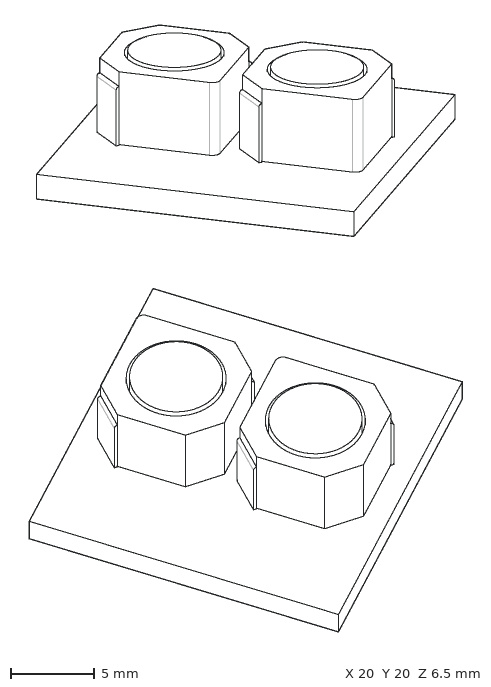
import cadquery as cq
import math

BOARD_SIZE = 20.0
BOARD_THICKNESS = 1.6

INDUCTOR_PITCH = 9.0
INDUCTOR_HEIGHT = 4.9
INDUCTOR_CENTRES_X = [-INDUCTOR_PITCH / 2, INDUCTOR_PITCH / 2]

SHIELD_SIZE = 8.0
SHIELD_BEVEL = 1.8
SHIELD_CORNER_RADIUS = 0.5
SHIELD_STANDOFF = 0.05
SHIELD_BORE_DIAMETER = 6.0

CORE_DIAMETER = 5.6
CORE_PROTRUSION = 0.15

TERMINAL_THICKNESS = 0.2
TERMINAL_HEIGHT = 3.8
TERMINAL_WIDTH = SHIELD_BEVEL * math.sqrt(2)
FRONT_LEFT_ANGLE = 225
BACK_RIGHT_ANGLE = 45

BEVEL_DISTANCE = (SHIELD_SIZE - SHIELD_BEVEL) / math.sqrt(2)


def make_board():
    return cq.Workplane("XY").box(
        BOARD_SIZE, BOARD_SIZE, BOARD_THICKNESS, centered=(True, True, False)
    )


def make_shield(centre_x):
    height = INDUCTOR_HEIGHT - CORE_PROTRUSION - SHIELD_STANDOFF
    block = cq.Workplane("XY").box(
        SHIELD_SIZE, SHIELD_SIZE, height, centered=(True, True, False)
    )
    block = block.edges("|Z and (<X or >Y)").chamfer(SHIELD_BEVEL)
    front_right = cq.selectors.DirectionMinMaxSelector(cq.Vector(1, -1, 0), True)
    block = block.edges("|Z").edges(front_right).fillet(SHIELD_CORNER_RADIUS)
    bore = cq.Workplane("XY").circle(SHIELD_BORE_DIAMETER / 2).extrude(height)
    return block.cut(bore).translate((centre_x, 0, BOARD_THICKNESS + SHIELD_STANDOFF))


def make_core(centre_x):
    core = cq.Workplane("XY").circle(CORE_DIAMETER / 2).extrude(INDUCTOR_HEIGHT)
    return core.translate((centre_x, 0, BOARD_THICKNESS))


def make_terminal(centre_x, angle):
    shoulder_height = TERMINAL_HEIGHT - TERMINAL_THICKNESS
    arc_middle = TERMINAL_THICKNESS / math.sqrt(2)
    plate = (
        cq.Workplane("XZ")
        .lineTo(TERMINAL_THICKNESS, 0)
        .lineTo(TERMINAL_THICKNESS, shoulder_height)
        .threePointArc((arc_middle, shoulder_height + arc_middle), (0, TERMINAL_HEIGHT))
        .close()
        .extrude(TERMINAL_WIDTH / 2, both=True)
    )
    plate = plate.translate((BEVEL_DISTANCE, 0, 0))
    plate = plate.rotate((0, 0, 0), (0, 0, 1), angle)
    return plate.translate((centre_x, 0, BOARD_THICKNESS))


bodies = [make_board().val()]
for inductor_x in INDUCTOR_CENTRES_X:
    bodies.append(make_shield(inductor_x).val())
    bodies.append(make_core(inductor_x).val())
    for bevel_angle in (FRONT_LEFT_ANGLE, BACK_RIGHT_ANGLE):
        bodies.append(make_terminal(inductor_x, bevel_angle).val())

result = cq.Compound.makeCompound(bodies)